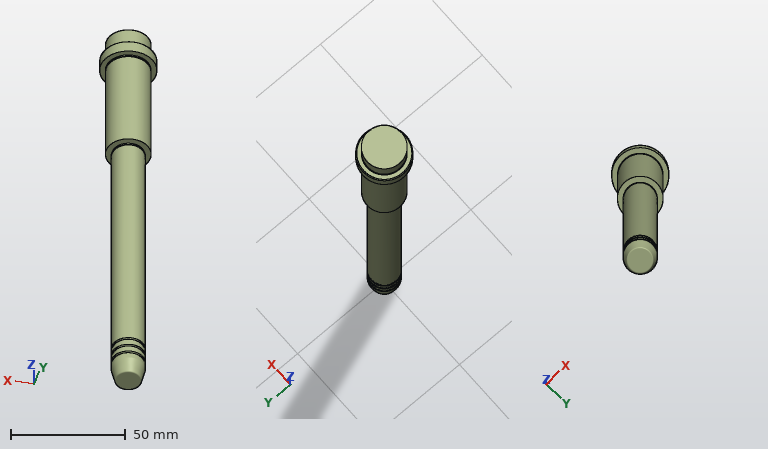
import cadquery as cq

total_length = 200.0

head_radius = 10.0
flange_radius = 12.5
flange_top = 191.0
flange_thickness = 6.0
flange_chamfer = 0.5
flange_bottom = flange_top - flange_thickness
relief_width = 1.0
relief_depth = 0.2

head_bottom = 135.0
shank_radius = 7.5
neck_radius = 7.2
neck_length = 1.0

taper_height = 7.0
tip_radius = 5.8
tip_fillet = 0.5

groove_count = 3
lowest_groove_center = 10.5
groove_pitch = 4.0
groove_width = 1.0
groove_depth = 0.5


def cylinder(radius, bottom, top):
    """Solid cylinder on the Z axis between two heights."""
    return cq.Workplane("XY").workplane(offset=bottom).circle(radius).extrude(top - bottom)


def ring_cutter(outer_radius, depth, bottom, width):
    """Ring that cuts a V-shaped groove into a cylinder."""
    return (
        cq.Workplane("XZ")
        .moveTo(outer_radius, bottom)
        .lineTo(outer_radius - depth, bottom + width / 2)
        .lineTo(outer_radius, bottom + width)
        .close()
        .revolve(360, (0, 0, 0), (0, 1, 0))
    )


def make_shank():
    """Shank with a tapered, rounded tip and ring grooves."""
    tip = (
        cq.Workplane("XY")
        .circle(tip_radius)
        .workplane(offset=taper_height)
        .circle(shank_radius)
        .loft()
        .faces("<Z")
        .edges()
        .fillet(tip_fillet)
    )
    shank = tip.union(cylinder(shank_radius, taper_height, head_bottom - neck_length))
    for index in range(groove_count):
        groove_bottom = lowest_groove_center + index * groove_pitch - groove_width / 2
        shank = shank.cut(ring_cutter(shank_radius, groove_depth, groove_bottom, groove_width))
    return shank


def make_head():
    """Head with a relief groove on each side of a chamfered flange."""
    head = cylinder(head_radius, head_bottom, total_length)
    for relief_bottom in (flange_top, flange_bottom - relief_width):
        head = head.cut(ring_cutter(head_radius, relief_depth, relief_bottom, relief_width))
    flange = cylinder(flange_radius, flange_bottom, flange_top).faces(">Z").edges().chamfer(flange_chamfer)
    return head.union(flange)


neck = cylinder(neck_radius, head_bottom - neck_length, head_bottom)

result = make_shank().union(neck).union(make_head())